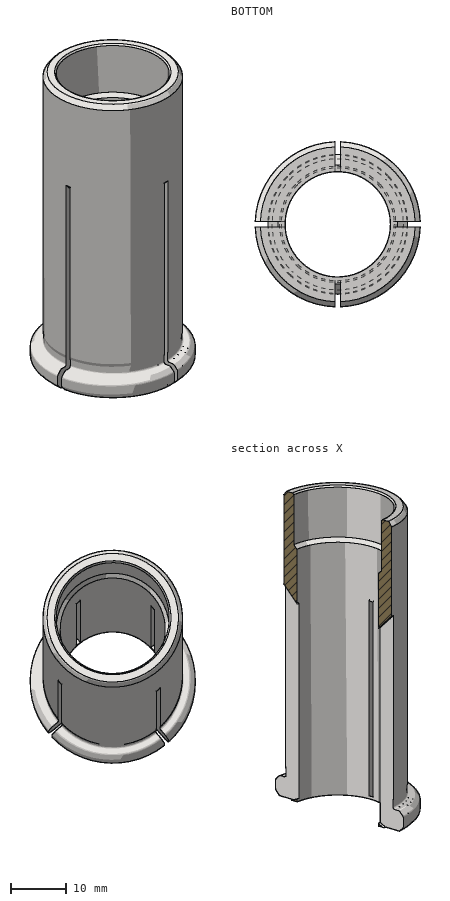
import cadquery as cq
import math

length = 60.0
body_radius = 25.4 / 2
flange_radius = 15.0

bore_radius = 19.1 / 2
top_bore_radius = 20.5 / 2
top_bore_depth = 10.0
bore_rim_chamfer = 0.3

flange_height = 3.95
flange_land_bottom = 1.2
flange_land_top = 2.75
edge_round = 0.6
neck_depth = 0.1
neck_top = 6.2
neck_taper_height = 0.6
neck_fillet = 0.4

rim_chamfer_bottom = 59.1
rim_chamfer_width = 0.55
rim_chamfer_height = 0.7
rim_bevel_width = 0.25

slot_count = 4
slot_width = 0.95
slot_top = 41.7
bridge_height = 0.6
bridge_run = 1.25
cutter_overlap = 0.6

bevel_angle = math.radians(45)
half_bevel_angle = bevel_angle / 2
round_inset = edge_round * (1 - math.cos(bevel_angle))
round_rise = edge_round * math.sin(bevel_angle)
round_mid_inset = edge_round * (1 - math.cos(half_bevel_angle))
round_mid_rise = edge_round * math.sin(half_bevel_angle)


def make_sleeve():
    """Revolve the wall section (radius, height) about Z."""
    neck_radius = body_radius - neck_depth
    bevel_radius = flange_radius - round_inset
    lower_bevel = flange_land_bottom - round_rise
    upper_bevel = flange_land_top + round_rise
    bevel_top = flange_height - round_inset
    bevel_top_radius = bevel_radius - (bevel_top - upper_bevel)
    face_radius = bevel_top_radius - round_rise
    fillet_mid = neck_fillet * (1 - math.sqrt(0.5))
    rim_radius = body_radius - rim_chamfer_width
    rim_bevel_bottom = rim_chamfer_bottom + rim_chamfer_height
    rim_land_radius = rim_radius - rim_bevel_width
    shoulder_top = length - top_bore_depth
    shoulder_bottom = shoulder_top - (top_bore_radius - bore_radius)

    section = (
        cq.Workplane("XZ")
        .moveTo(bore_radius, 0)
        .lineTo(bevel_radius - lower_bevel, 0)
        .lineTo(bevel_radius, lower_bevel)
        .threePointArc(
            (flange_radius - round_mid_inset, flange_land_bottom - round_mid_rise),
            (flange_radius, flange_land_bottom),
        )
        .lineTo(flange_radius, flange_land_top)
        .threePointArc(
            (flange_radius - round_mid_inset, flange_land_top + round_mid_rise),
            (bevel_radius, upper_bevel),
        )
        .lineTo(bevel_top_radius, bevel_top)
        .threePointArc(
            (face_radius + round_mid_rise, flange_height - round_mid_inset),
            (face_radius, flange_height),
        )
        .lineTo(neck_radius + neck_fillet, flange_height)
        .threePointArc(
            (neck_radius + fillet_mid, flange_height + fillet_mid),
            (neck_radius, flange_height + neck_fillet),
        )
        .lineTo(neck_radius, neck_top - neck_taper_height)
        .lineTo(body_radius, neck_top)
        .lineTo(body_radius, rim_chamfer_bottom)
        .lineTo(rim_radius, rim_bevel_bottom)
        .lineTo(rim_land_radius, length)
        .lineTo(top_bore_radius + bore_rim_chamfer, length)
        .lineTo(top_bore_radius, length - bore_rim_chamfer)
        .lineTo(top_bore_radius, shoulder_top)
        .lineTo(bore_radius, shoulder_bottom)
        .close()
    )
    return section.revolve(360, (0, 0, 0), (0, 1, 0))


def make_slot_cutter():
    """Cutter along +X: 45 degree upper end and a bridge ramp at the bottom."""
    inner = bore_radius - cutter_overlap
    outer = flange_radius + cutter_overlap
    return (
        cq.Workplane("XZ")
        .moveTo(inner, bridge_height)
        .lineTo(bore_radius, bridge_height)
        .lineTo(bore_radius + bridge_run, 0)
        .lineTo(outer, 0)
        .lineTo(outer, slot_top + outer - body_radius)
        .lineTo(inner, slot_top + inner - body_radius)
        .close()
        .extrude(slot_width / 2, both=True)
    )


result = make_sleeve()
slot_cutter = make_slot_cutter()
for index in range(slot_count):
    angle = index * 360 / slot_count
    result = result.cut(slot_cutter.rotate((0, 0, 0), (0, 0, 1), angle))